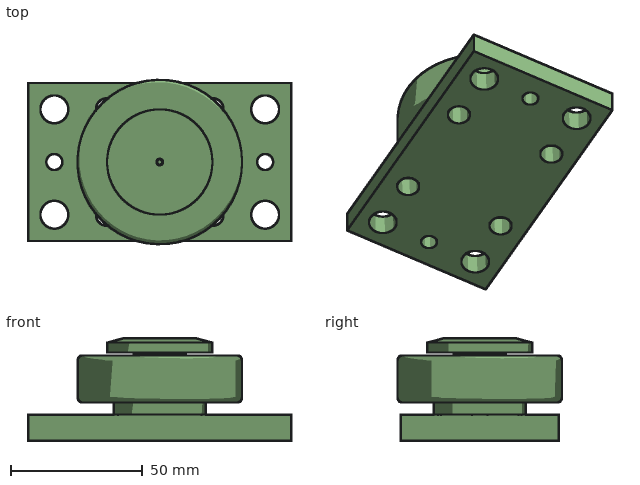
import cadquery as cq
import math

plate_length = 100.0
plate_width = 60.0
plate_thickness = 10.0

hole_offset_y = 20.0
end_hole_offset_x = 40.0
corner_hole_diameter = 10.5
middle_hole_diameter = 6.0
inner_hole_offset_x = 20.0
inner_hole_diameter = 8.38

lower_neck_diameter = 35.0
lower_neck_height = 4.5
roller_diameter = 62.5
roller_height = 18.0
roller_fillet = 2.0
upper_neck_diameter = 20.0
upper_neck_height = 1.0
upper_neck_chamfer = 0.7
cap_diameter = 40.0
cap_height = 5.5
cap_flat_diameter = 27.4
cap_cone_angle = 15.0

centre_hole_diameter = 2.0
centre_hole_depth = 5.0
centre_hole_chamfer = 0.25

roller_bottom = plate_thickness + lower_neck_height
roller_top = roller_bottom + roller_height
cap_bottom = roller_top + upper_neck_height
cap_top = cap_bottom + cap_height


def disc(diameter, bottom, height):
    """Cylinder on the Z axis."""
    return cq.Workplane("XY").workplane(offset=bottom).circle(diameter / 2).extrude(height)


def make_plate():
    """Flat plate with its three groups of through holes."""
    corner_points = [(x, y) for x in (-end_hole_offset_x, end_hole_offset_x)
                     for y in (-hole_offset_y, hole_offset_y)]
    middle_points = [(-end_hole_offset_x, 0), (end_hole_offset_x, 0)]
    inner_points = [(x, y) for x in (-inner_hole_offset_x, inner_hole_offset_x)
                    for y in (-hole_offset_y, hole_offset_y)]
    plate = cq.Workplane("XY").rect(plate_length, plate_width).extrude(plate_thickness)
    for points, diameter in (
        (corner_points, corner_hole_diameter),
        (middle_points, middle_hole_diameter),
        (inner_points, inner_hole_diameter),
    ):
        holes = cq.Workplane("XY").pushPoints(points).circle(diameter / 2).extrude(plate_thickness)
        plate = plate.cut(holes)
    return plate


def make_roller():
    """Roller with both rims rounded."""
    return disc(roller_diameter, roller_bottom, roller_height).edges().fillet(roller_fillet)


def make_upper_neck():
    """Short neck between roller and cap, tapering towards the cap."""
    neck = disc(upper_neck_diameter, roller_top, upper_neck_height)
    return neck.faces(">Z").edges().chamfer(upper_neck_chamfer)


def make_cap():
    """Round cap with a conical shoulder and a chamfered centre hole."""
    cap_radius = cap_diameter / 2
    flat_radius = cap_flat_diameter / 2
    cone_height = (cap_radius - flat_radius) * math.tan(math.radians(cap_cone_angle))
    profile = (
        cq.Workplane("XZ")
        .moveTo(0, cap_bottom)
        .lineTo(cap_radius, cap_bottom)
        .lineTo(cap_radius, cap_top - cone_height)
        .lineTo(flat_radius, cap_top)
        .lineTo(0, cap_top)
        .close()
    )
    cap = profile.revolve(360, (0, 0, 0), (0, 1, 0))
    cap = cap.cut(disc(centre_hole_diameter, cap_top - centre_hole_depth, centre_hole_depth))
    hole_rim = cq.selectors.RadiusNthSelector(0)
    return cap.faces(">Z").edges(hole_rim).chamfer(centre_hole_chamfer)


result = (
    make_plate()
    .union(disc(lower_neck_diameter, plate_thickness, lower_neck_height))
    .union(make_roller())
    .union(make_upper_neck())
    .union(make_cap())
)